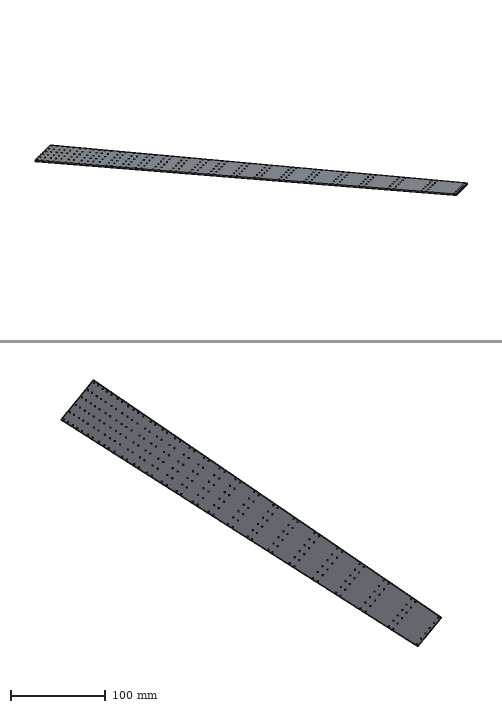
import cadquery as cq

board_length = 463.0
body_end_width = 58.0
nut_end_width = 42.0
thickness = 1.6

string_count = 6
hole_diameter = 1.2
body_end_string_spread = 53.5
nut_end_string_spread = 38.5

nut_row = 3.0
last_row = 460.5
fret_row_pairs = [
    (33.5, 39.0),
    (69.0, 75.5),
    (102.0, 107.5),
    (131.0, 137.5),
    (161.5, 167.5),
    (190.0, 195.5),
    (216.5, 222.2),
    (241.5, 247.5),
    (266.5, 272.5),
    (287.0, 293.5),
    (308.5, 314.5),
    (327.5, 334.0),
    (346.5, 353.0),
    (363.5, 369.5),
    (379.0, 385.0),
    (395.5, 402.5),
    (408.5, 415.5),
    (423.5, 429.5),
    (437.5, 443.5),
    (449.0, 455.5),
]

nut_x = board_length / 2
body_end_x = -board_length / 2


def string_spread(nut_distance):
    """Distance between the outermost strings, growing from the nut to the body end."""
    share = nut_distance / board_length
    return nut_end_string_spread + share * (body_end_string_spread - nut_end_string_spread)


def hole_row(nut_distance):
    """Hole centres of one row, one below each string."""
    x = nut_x - nut_distance
    spread = string_spread(nut_distance)
    pitch = spread / (string_count - 1)
    return [(x, string * pitch - spread / 2) for string in range(string_count)]


def hole_centres():
    """Centres of all holes, row by row from the nut to the body end."""
    centres = hole_row(nut_row)
    for nut_side, body_side in fret_row_pairs:
        centres += hole_row(nut_side)
        centres += hole_row(body_side)
    centres += hole_row(last_row)
    return centres


board = (
    cq.Workplane("XY")
    .polyline([
        (body_end_x, -body_end_width / 2),
        (nut_x, -nut_end_width / 2),
        (nut_x, nut_end_width / 2),
        (body_end_x, body_end_width / 2),
    ])
    .close()
    .extrude(thickness)
)

holes = (
    cq.Workplane("XY")
    .pushPoints(hole_centres())
    .circle(hole_diameter / 2)
    .extrude(thickness)
)

result = board.cut(holes)